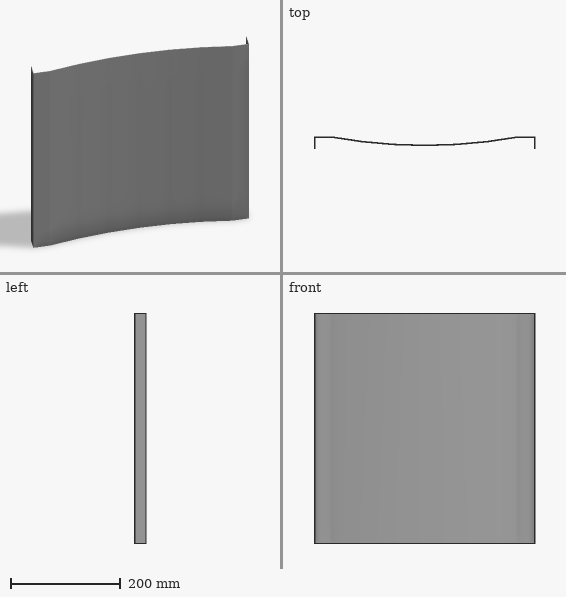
import cadquery as cq

WIDTH = 402.0
DEPTH = 21.0
HEIGHT = 420.0
SHEET = 1.0

CURVE_HALF_WIDTH = 170.0
SAG = 15.2

HALF_WIDTH = WIDTH / 2
INNER_HALF_WIDTH = HALF_WIDTH - SHEET
BACK = DEPTH / 2
FRONT = -DEPTH / 2
FACE = BACK - SHEET


def panel_profile():
    """Cross-section: two flat margins, a bowed middle and a return flange at each side."""
    return (
        cq.Workplane("XY", origin=(0, 0, -HEIGHT / 2))
        .moveTo(-HALF_WIDTH, FRONT)
        .lineTo(-HALF_WIDTH, BACK)
        .lineTo(-CURVE_HALF_WIDTH, BACK)
        .threePointArc((0, BACK - SAG), (CURVE_HALF_WIDTH, BACK))
        .lineTo(HALF_WIDTH, BACK)
        .lineTo(HALF_WIDTH, FRONT)
        .lineTo(INNER_HALF_WIDTH, FRONT)
        .lineTo(INNER_HALF_WIDTH, FACE)
        .lineTo(CURVE_HALF_WIDTH, FACE)
        .threePointArc((0, FACE - SAG), (-CURVE_HALF_WIDTH, FACE))
        .lineTo(-INNER_HALF_WIDTH, FACE)
        .lineTo(-INNER_HALF_WIDTH, FRONT)
        .close()
    )


result = panel_profile().extrude(HEIGHT)